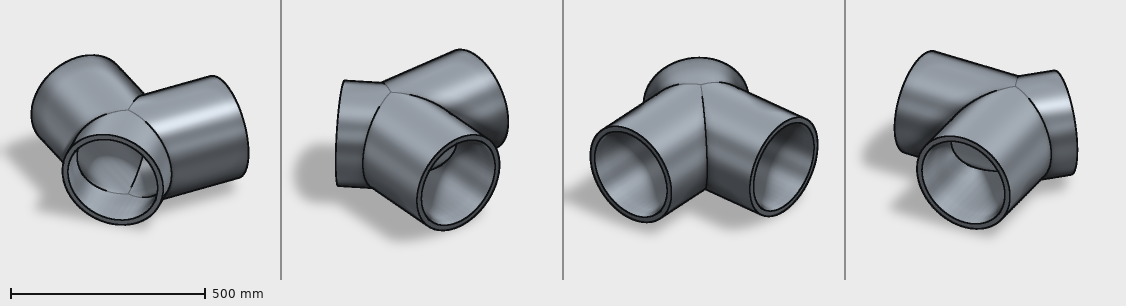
import cadquery as cq
import math

overall_width = 588.0
overall_depth = 421.0
outer_diameter = 273.0
bore_diameter = 243.0
branch_angle = 45.0

angle = math.radians(branch_angle)
outer_radius = outer_diameter / 2
branch_length = (overall_width / 2 - outer_radius * math.cos(angle)) / math.sin(angle)
branch_reach = branch_length * math.cos(angle) + outer_radius * math.sin(angle)
stem_length = overall_depth - branch_reach

legs = [
    (cq.Vector(0, -1, 0), stem_length),
    (cq.Vector(math.sin(angle), math.cos(angle), 0), branch_length),
    (cq.Vector(-math.sin(angle), math.cos(angle), 0), branch_length),
]


def joined_cylinders(diameter):
    """Fuse one cylinder per leg, each running outward from the origin."""
    origin = cq.Vector(0, 0, 0)
    stem, *branches = [
        cq.Solid.makeCylinder(diameter / 2, length, origin, direction)
        for direction, length in legs
    ]
    return cq.Workplane(stem.fuse(*branches))


result = joined_cylinders(outer_diameter).cut(joined_cylinders(bore_diameter))